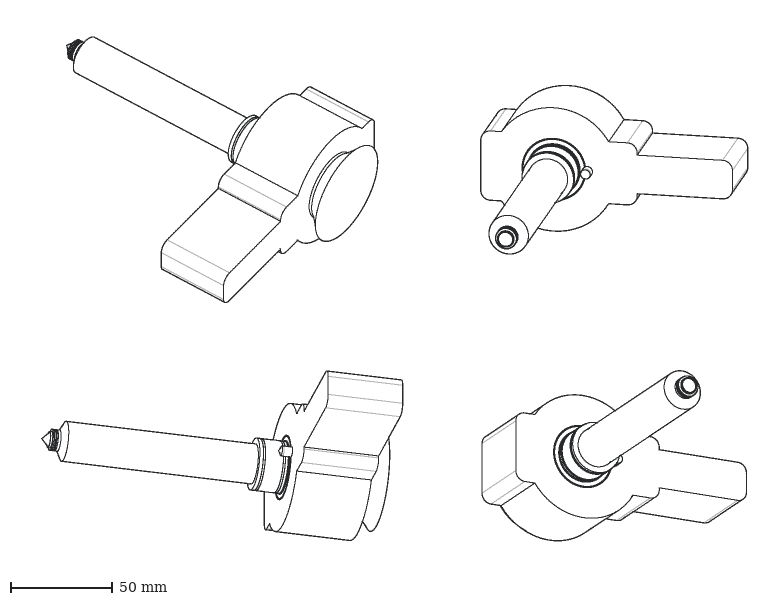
import cadquery as cq
import math

overall_length = 171.0

handle_width = 38.1
disc_radius = 32.0
block_reach = 37.0
block_half_height = 18.0
shoulder_reach = 42.0
shoulder_half_height = 16.0
arm_reach = 90.1
arm_half_height = 20.0 / 2
corner_radius = 5.0
recess_depth = 5.0

knob_length = 9.7
knob_neck_length = 1.5
knob_neck_radius = 18.1
knob_rim_radius = 26.3
knob_flare_sag = 0.3

shaft_radius = 20.0 / 2
nose_end = 11.3
nose_half_angle = 60

sleeve_radius = 13.0
sleeve_reach = 15.0
groove_inset = 1.9
groove_width = 1.0
groove_depth = 0.2
foot_radius = 13.3
foot_length = 0.5

ring_radius = 15.5
rebate_radius = 16.0
rebate_depth = 0.2

pin_radius = 2.5
pin_offset = 17.0
pin_reach = 6.5
pin_taper_start = 4.3
pin_cone_start = 5.1
pin_cone_radius = 2.4

point_radius = 3.6
land_radius = 4.1
collar_start = 4.6
collar_radius = 5.3
collar_groove_count = 2
collar_groove_width = 0.7
collar_groove_pitch = 1.2
tip_socket_depth = 5.0

handle_back = overall_length - knob_length
handle_front = handle_back - handle_width
recess_floor = handle_front + recess_depth
sleeve_front = handle_front - sleeve_reach
nose_length = (shaft_radius - collar_radius) / math.tan(math.radians(nose_half_angle))
nose_start = nose_end - nose_length
tip_back = nose_start + tip_socket_depth


def revolve_profile(points):
    """Turn an (x, radius) outline about the X axis."""
    return cq.Workplane("XY").polyline(points).close().revolve(360, (0, 0, 0), (1, 0, 0))


def cylinder(x_start, x_end, radius, y=0.0):
    """Round bar along X between two stations."""
    return cq.Workplane("YZ", origin=(x_start, y, 0)).circle(radius).extrude(x_end - x_start)


def groove(x_start, width, radius, depth):
    """Ring of material to remove from the outside of a round body."""
    x_end = x_start + width
    return cylinder(x_start, x_end, radius).cut(cylinder(x_start, x_end, radius - depth))


def handle_bar(y_end, half_height):
    """Bar from the axis to y_end, with its two outer corners rounded."""
    side = ">Y" if y_end > 0 else "<Y"
    return (
        cq.Workplane("XY")
        .box(handle_width, abs(y_end), 2 * half_height)
        .faces(side).edges("|X").fillet(corner_radius)
        .translate((handle_front + handle_width / 2, y_end / 2, 0))
    )


def make_handle():
    body = cylinder(handle_front, handle_back, disc_radius)
    body = body.union(handle_bar(block_reach, block_half_height))
    body = body.union(handle_bar(-shoulder_reach, shoulder_half_height))
    body = body.union(handle_bar(-arm_reach, arm_half_height))
    body = body.cut(cylinder(handle_front, recess_floor, ring_radius))
    body = body.cut(cylinder(handle_front, handle_front + rebate_depth, rebate_radius))
    body = body.cut(cylinder(handle_front, handle_back, shaft_radius))
    return body.cut(pin_hole())


def make_knob():
    neck_end = handle_back + knob_neck_length
    flare_length = overall_length - neck_end
    flare_rise = knob_rim_radius - knob_neck_radius
    flare_slant = math.hypot(flare_length, flare_rise)
    flare_middle = (
        neck_end + flare_length / 2 + knob_flare_sag * flare_rise / flare_slant,
        knob_neck_radius + flare_rise / 2 - knob_flare_sag * flare_length / flare_slant,
    )
    return (
        cq.Workplane("XY")
        .moveTo(handle_back, 0)
        .lineTo(handle_back, knob_neck_radius)
        .lineTo(neck_end, knob_neck_radius)
        .threePointArc(flare_middle, (overall_length, knob_rim_radius))
        .lineTo(overall_length, 0)
        .close()
        .revolve(360, (0, 0, 0), (1, 0, 0))
    )


def make_shaft():
    body = revolve_profile([
        (nose_start, 0),
        (nose_start, collar_radius),
        (nose_end, shaft_radius),
        (handle_back, shaft_radius),
        (handle_back, 0),
    ])
    return body.cut(cylinder(nose_start, tip_back, collar_radius))


def make_sleeve():
    body = revolve_profile([
        (sleeve_front, 0),
        (sleeve_front, sleeve_radius),
        (handle_front - foot_length, sleeve_radius),
        (handle_front - foot_length, foot_radius),
        (recess_floor, foot_radius),
        (recess_floor, 0),
    ])
    body = body.cut(cylinder(sleeve_front, recess_floor, shaft_radius))
    front_groove = sleeve_front + groove_inset
    rear_groove = handle_front - groove_inset - groove_width
    for x_start in (front_groove, rear_groove):
        body = body.cut(groove(x_start, groove_width, sleeve_radius, groove_depth))
    return body


def make_ring():
    body = cylinder(handle_front, recess_floor, ring_radius)
    body = body.cut(cylinder(handle_front, recess_floor, foot_radius))
    return body.cut(pin_hole())


def pin_hole():
    return cylinder(handle_front, recess_floor, pin_radius, -pin_offset)


def make_pin():
    body = revolve_profile([
        (handle_front - pin_reach, 0),
        (handle_front - pin_cone_start, pin_cone_radius),
        (handle_front - pin_taper_start, pin_radius),
        (recess_floor, pin_radius),
        (recess_floor, 0),
    ])
    return body.translate((0, -pin_offset, 0))


def make_tip():
    body = revolve_profile([
        (0, 0),
        (point_radius, point_radius),
        (point_radius, land_radius),
        (collar_start, land_radius),
        (collar_start, collar_radius),
        (tip_back, collar_radius),
        (tip_back, 0),
    ])
    for i in range(collar_groove_count):
        groove_start = collar_start + collar_groove_width + i * collar_groove_pitch
        body = body.cut(groove(groove_start, collar_groove_width, collar_radius, groove_depth))
    return body


handle = make_handle()
knob = make_knob()
shaft = make_shaft()
sleeve = make_sleeve()
ring = make_ring()
pin = make_pin()
tip = make_tip()

result = cq.Compound.makeCompound([
    handle.val(), knob.val(), shaft.val(), sleeve.val(), ring.val(), pin.val(), tip.val(),
])